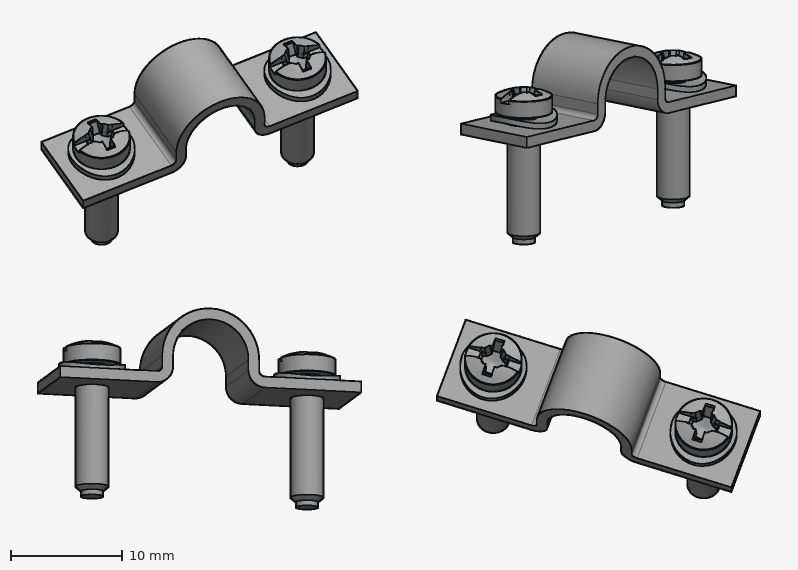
import cadquery as cq
import math

length = 28.0
width = 8.0
thickness = 1.0
arch_outer_radius = 4.5
arch_inner_radius = arch_outer_radius - thickness
arch_center_height = 2.5
bend_inner_radius = 0.5
bend_outer_radius = bend_inner_radius + thickness
screw_offset = 10.0

shank_diameter = 3.0
shank_radius = shank_diameter / 2
shank_bottom = -10.0
tip_radius = 1.0
tip_length = 0.48
tip_cone_height = 0.42
neck_radius = 1.15
collar_radius = 1.3
collar_bottom = thickness + 0.73
collar_cone_height = 0.15
head_radius = 2.58
head_bottom = thickness + 1.0
dome_edge_height = thickness + 2.58
dome_rise = 0.62
head_edge_chamfer = 0.05
dome_top = dome_edge_height + dome_rise

slot_width = 0.98
slot_floor = thickness + 2.2
ledge_height = thickness + 2.83
ledge_half_length = 1.88
recess_floor = thickness + 1.75
wing_width = 0.85
wing_top_half_length = 1.68
wing_floor_half_length = 1.12
core_floor_corner = [(0.28, 1.12), (0.4, 0.78), (0.75, 0.42)]
core_slot_floor_corner = [(0.42, 1.35), (0.45, 0.87), (0.8, 0.5)]
core_top_corner = [(0.55, 1.37), (0.6, 1.05), (0.95, 0.67)]
recess_cone_depth = 0.55

washer_outer_radius = 3.0
washer_thickness = 0.5
washer_rise = 0.53
washer_blank_height = washer_rise + 2 * washer_thickness
washer_bend_radius = (washer_outer_radius**2 + washer_rise**2) / (2 * washer_rise)


def make_strap():
    half = length / 2
    wall_out = arch_outer_radius
    wall_in = arch_inner_radius
    bend_center_y = wall_out + bend_inner_radius
    bend_center_z = thickness + bend_inner_radius
    diagonal = math.sqrt(0.5)
    outer_mid_y = bend_center_y - bend_outer_radius * diagonal
    outer_mid_z = bend_center_z - bend_outer_radius * diagonal
    inner_mid_y = bend_center_y - bend_inner_radius * diagonal
    inner_mid_z = bend_center_z - bend_inner_radius * diagonal
    profile = (
        cq.Workplane("YZ", origin=(-width / 2, 0, 0))
        .moveTo(-half, 0)
        .lineTo(-bend_center_y, 0)
        .threePointArc((-outer_mid_y, outer_mid_z), (-wall_in, bend_center_z))
        .lineTo(-wall_in, arch_center_height)
        .threePointArc((0, arch_center_height + wall_in), (wall_in, arch_center_height))
        .lineTo(wall_in, bend_center_z)
        .threePointArc((outer_mid_y, outer_mid_z), (bend_center_y, 0))
        .lineTo(half, 0)
        .lineTo(half, thickness)
        .lineTo(bend_center_y, thickness)
        .threePointArc((inner_mid_y, inner_mid_z), (wall_out, bend_center_z))
        .lineTo(wall_out, arch_center_height)
        .threePointArc((0, arch_center_height + wall_out), (-wall_out, arch_center_height))
        .lineTo(-wall_out, bend_center_z)
        .threePointArc((-inner_mid_y, inner_mid_z), (-bend_center_y, thickness))
        .lineTo(-half, thickness)
        .close()
    )
    holes = (
        cq.Workplane("XY")
        .pushPoints([(0, -screw_offset), (0, screw_offset)])
        .circle(shank_radius)
        .extrude(thickness)
    )
    return profile.extrude(width).cut(holes)


def make_washer(y):
    bend_center_z = thickness + washer_bend_radius
    sheet = (
        cq.Workplane("YZ", origin=(-washer_outer_radius, y, bend_center_z))
        .circle(washer_bend_radius)
        .circle(washer_bend_radius - washer_thickness)
        .extrude(2 * washer_outer_radius)
    )
    ring = (
        cq.Workplane("XY", origin=(0, y, thickness))
        .circle(washer_outer_radius)
        .circle(neck_radius)
        .extrude(washer_blank_height)
    )
    return sheet.intersect(ring)


def make_screw_blank():
    cone_bottom = shank_bottom + tip_length
    dome_edge_radius = head_radius - head_edge_chamfer
    dome_radius = (dome_edge_radius**2 + dome_rise**2) / (2 * dome_rise)
    dome_mid_x = dome_edge_radius / 2
    dome_mid_z = dome_top - dome_radius + math.sqrt(dome_radius**2 - dome_mid_x**2)
    return (
        cq.Workplane("XZ")
        .moveTo(0, shank_bottom)
        .lineTo(tip_radius, shank_bottom)
        .lineTo(tip_radius, cone_bottom)
        .lineTo(shank_radius, cone_bottom + tip_cone_height)
        .lineTo(shank_radius, thickness)
        .lineTo(neck_radius, thickness)
        .lineTo(neck_radius, collar_bottom - collar_cone_height)
        .lineTo(collar_radius, collar_bottom)
        .lineTo(collar_radius, head_bottom)
        .lineTo(dome_edge_radius, head_bottom)
        .lineTo(head_radius, head_bottom + head_edge_chamfer)
        .lineTo(head_radius, dome_edge_height - head_edge_chamfer)
        .lineTo(dome_edge_radius, dome_edge_height)
        .threePointArc((dome_mid_x, dome_mid_z), (0, dome_top))
        .close()
        .revolve(360, (0, 0, 0), (0, 1, 0))
    )


def make_slot():
    return (
        cq.Workplane("XY", origin=(0, 0, slot_floor))
        .rect(slot_width, 2 * head_radius)
        .extrude(dome_top - slot_floor)
    )


def make_wing_pair():
    """Wing profile in the XZ plane: slanted ends below the ledge, straight sides."""
    return (
        cq.Workplane("XZ", origin=(0, wing_width / 2, 0))
        .polyline(
            [
                (-wing_floor_half_length, recess_floor),
                (wing_floor_half_length, recess_floor),
                (wing_top_half_length, ledge_height),
                (ledge_half_length, ledge_height),
                (ledge_half_length, dome_top),
                (-ledge_half_length, dome_top),
                (-ledge_half_length, ledge_height),
                (-wing_top_half_length, ledge_height),
            ]
        )
        .close()
        .extrude(wing_width)
    )


def mirrored_outline(corner):
    """Closed point list made from one quarter mirrored in X and in Y."""
    right = corner + [(x, -y) for x, y in reversed(corner)]
    left = [(-x, -y) for x, y in right]
    return right + left


def make_core():
    """Recess core between the wings, widening upward in two steps."""
    return (
        cq.Workplane("XY", origin=(0, 0, recess_floor))
        .polyline(mirrored_outline(core_floor_corner))
        .close()
        .workplane(offset=slot_floor - recess_floor)
        .polyline(mirrored_outline(core_slot_floor_corner))
        .close()
        .workplane(offset=dome_top - slot_floor)
        .polyline(mirrored_outline(core_top_corner))
        .close()
        .loft(ruled=True)
    )


def make_recess_cone():
    cone = cq.Solid.makeCone(
        0,
        wing_floor_half_length,
        recess_cone_depth,
        pnt=cq.Vector(0, 0, recess_floor - recess_cone_depth),
    )
    return cq.Workplane(obj=cone)


def make_screw(y):
    screw = (
        make_screw_blank()
        .cut(make_slot())
        .cut(make_wing_pair())
        .cut(make_core())
        .cut(make_recess_cone())
    )
    return screw.translate((0, y, 0))


strap = make_strap()
washers = []
screws = []
for y in (-screw_offset, screw_offset):
    washers.append(make_washer(y).val())
    screws.append(make_screw(y).val())

result = cq.Compound.makeCompound([strap.val(), *washers, *screws])